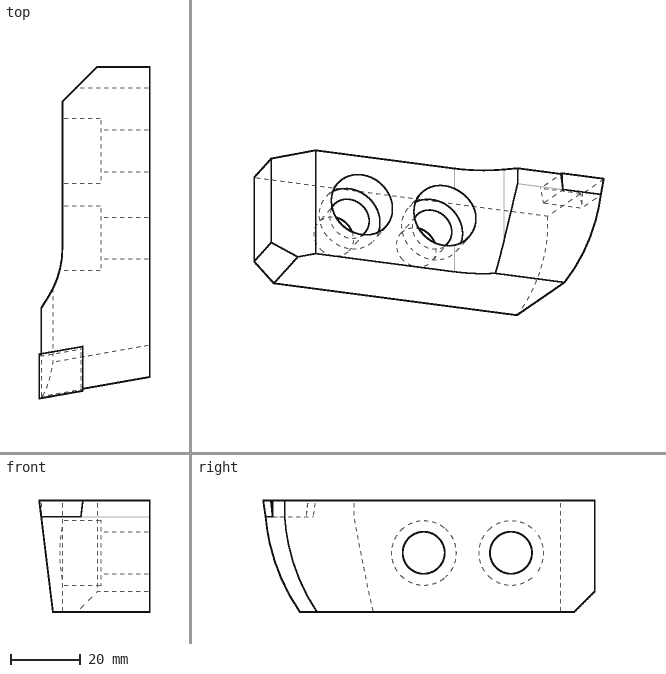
import cadquery as cq
import math

LENGTH = 94.9
WIDTH = 31.7
HEIGHT = 32.0
SHANK_SIDE_X = 6.6
REAR_CORNER_CHAMFER = 10.0
REAR_BOTTOM_CHAMFER = 6.0

BLEND_START_Y = 43.0
BLEND_RADIUS = 25.8
BLEND_ANGLE = math.radians(32)

INSERT_WIDTH = 12.5
INSERT_LENGTH = 12.7
INSERT_THICKNESS = 4.7
CLEARANCE_DEGREES = 7
LEAD_DEGREES = 10
CLEARANCE_SLOPE = math.tan(math.radians(CLEARANCE_DEGREES))
LEAD_SLOPE = math.tan(math.radians(LEAD_DEGREES))
SEAT_Z = HEIGHT - INSERT_THICKNESS
INSERT_OVERHANG = INSERT_THICKNESS * CLEARANCE_SLOPE

HEAD_SIDE_X = INSERT_OVERHANG
FRONT_Y = INSERT_OVERHANG / math.cos(math.radians(LEAD_DEGREES))

FRONT_RELIEF_RADIUS = 56.0
FRONT_RELIEF_DEPTH = 9.1

HOLE_DIAMETER = 12.0
COUNTERBORE_DIAMETER = 18.5
COUNTERBORE_DEPTH = 11.0
HOLE_Z = 17.0
FIRST_HOLE_Y = 45.9
HOLE_SPACING = 25.0
HOLE_COUNT = 2

CUT_MARGIN = 9.5


def front_edge_y(x):
    """Y of the slanted head front at the given X."""
    return FRONT_Y + x * LEAD_SLOPE


def blend_point(angle):
    """Point on the blend arc, at an angle from its tangent start on the shank."""
    return (
        SHANK_SIDE_X - BLEND_RADIUS * (1 - math.cos(angle)),
        BLEND_START_Y - BLEND_RADIUS * math.sin(angle),
    )


def make_blank():
    """Holder outline, extruded to full height."""
    blend_end_x, blend_end_y = blend_point(BLEND_ANGLE)
    head_start_y = blend_end_y - (blend_end_x - HEAD_SIDE_X) / math.tan(BLEND_ANGLE)
    return (
        cq.Workplane("XY")
        .moveTo(HEAD_SIDE_X, front_edge_y(HEAD_SIDE_X))
        .lineTo(WIDTH, front_edge_y(WIDTH))
        .lineTo(WIDTH, LENGTH)
        .lineTo(SHANK_SIDE_X + REAR_CORNER_CHAMFER, LENGTH)
        .lineTo(SHANK_SIDE_X, LENGTH - REAR_CORNER_CHAMFER)
        .lineTo(SHANK_SIDE_X, BLEND_START_Y)
        .threePointArc(blend_point(BLEND_ANGLE / 2), (blend_end_x, blend_end_y))
        .lineTo(HEAD_SIDE_X, head_start_y)
        .close()
        .extrude(HEIGHT)
    )


def make_rear_chamfer_cut():
    """Wedge that bevels the bottom rear edge across the full width."""
    return (
        cq.Workplane("YZ")
        .polyline([
            (LENGTH, 0),
            (LENGTH - REAR_BOTTOM_CHAMFER, 0),
            (LENGTH, REAR_BOTTOM_CHAMFER),
        ])
        .close()
        .extrude(WIDTH)
    )


def make_side_relief_cut():
    """Wedge that leans the head side inward below the insert seat."""
    bottom_x = HEAD_SIDE_X + SEAT_Z * CLEARANCE_SLOPE
    return (
        cq.Workplane("XZ")
        .polyline([(HEAD_SIDE_X, SEAT_Z), (bottom_x, 0), (HEAD_SIDE_X, 0)])
        .close()
        .extrude(-BLEND_START_Y)
    )


def make_front_relief_cut():
    """Curved relief swept along the slanted front edge, below the insert seat."""
    return (
        cq.Workplane("YZ")
        .moveTo(0, SEAT_Z)
        .radiusArc((FRONT_RELIEF_DEPTH, 0), -FRONT_RELIEF_RADIUS)
        .lineTo(-CUT_MARGIN, 0)
        .lineTo(-CUT_MARGIN, SEAT_Z)
        .close()
        .extrude(WIDTH + 2 * CUT_MARGIN)
        .translate((-CUT_MARGIN, 0, 0))
        .rotate((0, 0, 0), (0, 0, 1), LEAD_DEGREES)
        .translate((0, FRONT_Y, 0))
    )


def make_hole_cut(y):
    """Through hole along X with a counterbore entering from the shank side."""
    hole_plane = cq.Workplane("YZ").center(y, HOLE_Z)
    through = hole_plane.circle(HOLE_DIAMETER / 2).extrude(WIDTH)
    counterbore = hole_plane.circle(COUNTERBORE_DIAMETER / 2).extrude(SHANK_SIDE_X + COUNTERBORE_DEPTH)
    return through.union(counterbore)


def make_insert():
    """Parallelogram insert whose sides all taper inward towards its seat."""
    right_y = INSERT_WIDTH * LEAD_SLOPE
    return (
        cq.Workplane("XY", origin=(0, 0, HEIGHT))
        .polyline([
            (0, 0),
            (INSERT_WIDTH, right_y),
            (INSERT_WIDTH, right_y + INSERT_LENGTH),
            (0, INSERT_LENGTH),
        ])
        .close()
        .extrude(-INSERT_THICKNESS, taper=CLEARANCE_DEGREES)
    )


def make_holder(insert):
    """Holder body with its reliefs, mounting holes and matching insert pocket."""
    holder = (
        make_blank()
        .cut(make_rear_chamfer_cut())
        .cut(make_side_relief_cut())
        .cut(make_front_relief_cut())
    )
    for index in range(HOLE_COUNT):
        holder = holder.cut(make_hole_cut(FIRST_HOLE_Y + index * HOLE_SPACING))
    return holder.cut(insert).solids()


insert = make_insert()
holder = make_holder(insert)

result = cq.Compound.makeCompound([holder.val(), insert.val()])